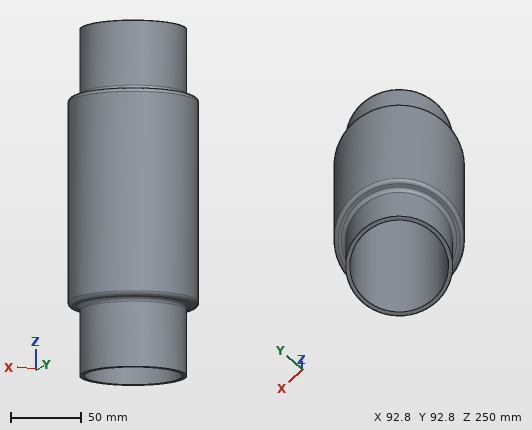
import cadquery as cq

total_length = 250.0
body_length = 150.0
body_diameter = 92.8
pipe_diameter = 76.0
bore_diameter = 70.0
shoulder_radius = 3.0
neck_radius = 3.0

body_bottom = (total_length - body_length) / 2
body_top = body_bottom + body_length


def cylinder(diameter, length, bottom=0.0):
    """Upright cylinder on the Z axis, starting at height bottom."""
    return cq.Workplane("XY", origin=(0, 0, bottom)).circle(diameter / 2).extrude(length)


def circle_at(diameter, height):
    """Selector for the circular edge of this diameter at this height."""
    slack = 0.2
    reach = diameter / 2 + slack
    return cq.selectors.BoxSelector(
        (-reach, -reach, height - slack), (reach, reach, height + slack), boundingbox=True
    )


body = cylinder(body_diameter, body_length, body_bottom).edges().fillet(shoulder_radius)

part = body.union(cylinder(pipe_diameter, total_length))
for height in (body_bottom, body_top):
    part = part.edges(circle_at(pipe_diameter, height)).fillet(neck_radius)

result = part.cut(cylinder(bore_diameter, total_length))